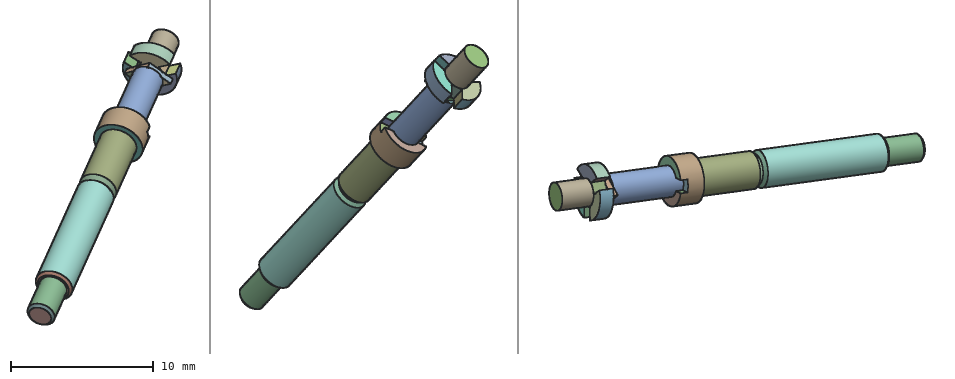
import cadquery as cq

TOTAL_LENGTH = 28.8
TIP_LENGTH = 3.0
BODY_LENGTH = 14.98
COLLAR_LENGTH = 1.85
NECK_LENGTH = 4.95
RHOMBUS_LENGTH = 0.5
FLANGE_LENGTH = 1.07

ROD_DIAMETER = 2.02
BODY_DIAMETER = 2.7
COLLAR_DIAMETER = 3.6
NECK_DIAMETER = 2.25
FLANGE_DIAMETER = 4.0

END_CHAMFER = 0.2
GROOVE_DEPTH = 0.25
GROOVE_FRONT_WIDTH = 0.25
GROOVE_REAR_WIDTH = 0.35
GROOVE_TO_BODY_FRONT = 9.96
COLLAR_SLOT_WIDTH = 0.95
COLLAR_SLOT_DEPTH = 0.55
RHOMBUS_WIDTH = 3.4
RHOMBUS_HEIGHT = 2.2
FLANGE_SLOT_WIDTH = 0.85
FLANGE_SLOT_FLOOR = ROD_DIAMETER / 2
FLANGE_SLOT_ANGLES = (30, 150, 270)

TIP_START = -TOTAL_LENGTH / 2
BODY_START = TIP_START + TIP_LENGTH
COLLAR_START = BODY_START + BODY_LENGTH
NECK_START = COLLAR_START + COLLAR_LENGTH
RHOMBUS_START = NECK_START + NECK_LENGTH
FLANGE_START = RHOMBUS_START + RHOMBUS_LENGTH
FLANGE_END = FLANGE_START + FLANGE_LENGTH


def section_plane(y):
    """Plane across the axis at y: local x is +X, local y is +Z, normal is -Y."""
    return cq.Workplane("XZ", origin=(0, y, 0))


def cylinder(diameter, start, length):
    """Cylinder on the Y axis that runs from start toward +Y."""
    return section_plane(start).circle(diameter / 2).extrude(-length)


def make_tip():
    """Front rod with a chamfered front edge."""
    tip = cylinder(ROD_DIAMETER, TIP_START, TIP_LENGTH)
    return tip.faces("<Y").chamfer(END_CHAMFER)


def make_rear_rod():
    """Rear rod behind the flange."""
    return cylinder(ROD_DIAMETER, FLANGE_END, TOTAL_LENGTH / 2 - FLANGE_END)


def make_body():
    """Front barrel with a chamfered front edge and a V-groove around it."""
    body = cylinder(BODY_DIAMETER, BODY_START, BODY_LENGTH)
    body = body.faces("<Y").chamfer(END_CHAMFER)
    radius = BODY_DIAMETER / 2
    groove_y = BODY_START + GROOVE_TO_BODY_FRONT
    groove = (
        cq.Workplane("XY")
        .polyline([
            (radius, groove_y - GROOVE_FRONT_WIDTH),
            (radius - GROOVE_DEPTH, groove_y),
            (radius, groove_y + GROOVE_REAR_WIDTH),
        ])
        .close()
        .revolve(360, (0, 0, 0), (0, 1, 0))
    )
    return body.cut(groove)


def make_collar():
    """Collar with a slot across its rear face, along X."""
    collar = cylinder(COLLAR_DIAMETER, COLLAR_START, COLLAR_LENGTH)
    slot = (
        section_plane(NECK_START - COLLAR_SLOT_DEPTH)
        .rect(COLLAR_DIAMETER, COLLAR_SLOT_WIDTH)
        .extrude(-COLLAR_SLOT_DEPTH)
    )
    return collar.cut(slot)


def make_neck():
    """Neck that starts inside the collar, so that it fills the slot around the axis."""
    return cylinder(NECK_DIAMETER, COLLAR_START, COLLAR_LENGTH + NECK_LENGTH)


def make_rhombus():
    """Rhombic plate between neck and flange, long diagonal along X."""
    half_width = RHOMBUS_WIDTH / 2
    half_height = RHOMBUS_HEIGHT / 2
    corners = [(half_width, 0), (0, half_height), (-half_width, 0), (0, -half_height)]
    return section_plane(RHOMBUS_START).polyline(corners).close().extrude(-RHOMBUS_LENGTH)


def make_flange():
    """Flange split into three arms by radial slots with flat floors."""
    flange = cylinder(FLANGE_DIAMETER, FLANGE_START, FLANGE_LENGTH)
    slot_length = FLANGE_DIAMETER / 2 - FLANGE_SLOT_FLOOR
    for angle in FLANGE_SLOT_ANGLES:
        slot = (
            section_plane(FLANGE_START)
            .transformed(rotate=(0, 0, angle))
            .center(FLANGE_SLOT_FLOOR + slot_length / 2, 0)
            .rect(slot_length, FLANGE_SLOT_WIDTH)
            .extrude(-FLANGE_LENGTH)
        )
        flange = flange.cut(slot)
    return flange


result = make_tip()
for section in (
    make_body(),
    make_collar(),
    make_neck(),
    make_rhombus(),
    make_flange(),
    make_rear_rod(),
):
    result = result.union(section)